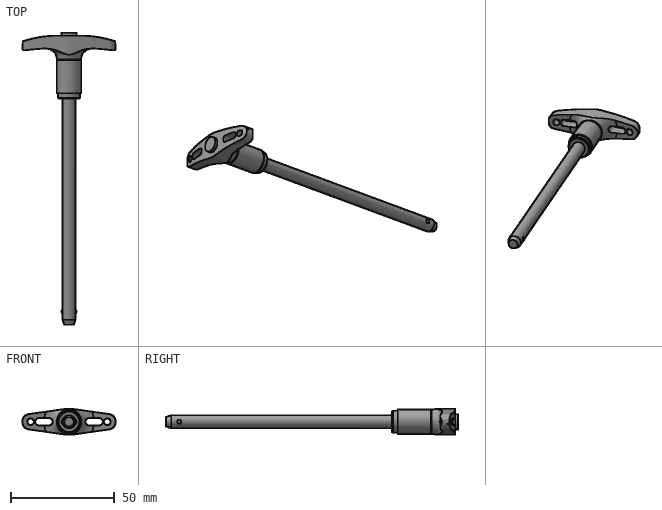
import cadquery as cq
import math

OVERALL_LENGTH = 141.22
HANDLE_SPAN = 45.18
HANDLE_DEPTH = 12.7

CROSSBAR_TOP = 1.45
FLARE_END = 12.85
GRIP_START = 13.25
GRIP_END = 29.2
COLLAR_CHAMFER_START = 31.4
SHOULDER = 32.0
BALL_DISTANCE = 134.75
NOSE_START = 138.7

BUTTON_RADIUS = 3.75
GRIP_RADIUS = 5.94
COLLAR_RADIUS = 5.4
COLLAR_CHAMFER = 0.45
SHANK_RADIUS = 3.175
NOSE_RADIUS = 2.3
FLARE_OUTER_RADIUS = 12.1
FLARE_MID_RADIUS = 7.4
FLARE_MID_DROP = 1.45
NECK_GROOVE_DEPTH = 0.15

TIP_RADIUS = 3.8
WAIST_FLAT = 2.2

TOP_FLAT_HALF = 5.8
TOP_ARC_RADIUS = 50.8
UNDERSIDE_RADIUS = 180.0
UNDERSIDE_CROWN = 7.35
TIP_SETBACK = 0.23
TIP_OVERRUN = 0.12
TIP_EDGE_FILLET = 1.1

HOLE_DIAMETER = 3.1
HOLE_X = 18.5
SLOT_WIDTH = 3.45
SLOT_INNER_X = 7.9
SLOT_OUTER_X = 16.3

BALL_RADIUS = 1.2
BALL_CENTER_X = 2.45

HALF_SPAN = HANDLE_SPAN / 2
HALF_DEPTH = HANDLE_DEPTH / 2


def y_at(distance):
    """Y of a point at the given distance from the button's outer face."""
    return SHOULDER - distance


def top_distance(x):
    """Depth of the crossbar's rounded top at a given x outside the flat."""
    run = x - TOP_FLAT_HALF
    return CROSSBAR_TOP + TOP_ARC_RADIUS - math.sqrt(TOP_ARC_RADIUS**2 - run**2)


def underside_distance(x):
    """Depth of the crossbar's arched underside at a given x."""
    return UNDERSIDE_CROWN + UNDERSIDE_RADIUS - math.sqrt(UNDERSIDE_RADIUS**2 - x**2)


def extrude_along_pin(sketch, start, end):
    """Extrude an XZ sketch between two distances along the pin axis."""
    return sketch.extrude(end - start).translate((0, y_at(start), 0))


def crossbar_plan():
    """Outline of the handle along the pin axis: a waist flat tapering to round tips."""
    flat = WAIST_FLAT / 2
    tip_center = HALF_SPAN - TIP_RADIUS
    run = tip_center - flat
    reach = math.hypot(run, HALF_DEPTH)
    normal = math.pi - math.atan2(HALF_DEPTH, run) - math.acos(TIP_RADIUS / reach)
    touch_x = tip_center + TIP_RADIUS * math.cos(normal)
    touch_z = TIP_RADIUS * math.sin(normal)
    return (
        cq.Workplane("XZ")
        .moveTo(-flat, HALF_DEPTH)
        .lineTo(flat, HALF_DEPTH)
        .lineTo(touch_x, touch_z)
        .threePointArc((HALF_SPAN, 0), (touch_x, -touch_z))
        .lineTo(flat, -HALF_DEPTH)
        .lineTo(-flat, -HALF_DEPTH)
        .lineTo(-touch_x, -touch_z)
        .threePointArc((-HALF_SPAN, 0), (-touch_x, touch_z))
        .close()
    )


def crossbar():
    """Wings with a rounded top, an arched underside and rounded lower tip edges."""
    top_x = HALF_SPAN - TIP_SETBACK
    mid_x = (TOP_FLAT_HALF + top_x) / 2
    top_y = y_at(CROSSBAR_TOP)
    tip_top_y = y_at(top_distance(top_x))
    mid_top_y = y_at(top_distance(mid_x))
    bottom_x = HALF_SPAN + TIP_OVERRUN
    tip_bottom_y = y_at(underside_distance(bottom_x))
    profile = (
        cq.Workplane("XY")
        .moveTo(-TOP_FLAT_HALF, top_y)
        .lineTo(TOP_FLAT_HALF, top_y)
        .threePointArc((mid_x, mid_top_y), (top_x, tip_top_y))
        .lineTo(bottom_x, tip_bottom_y)
        .threePointArc((0, y_at(UNDERSIDE_CROWN)), (-bottom_x, tip_bottom_y))
        .lineTo(-top_x, tip_top_y)
        .threePointArc((-mid_x, mid_top_y), (-TOP_FLAT_HALF, top_y))
        .close()
        .extrude(HALF_DEPTH, both=True)
    )
    return profile.edges("|Z").edges("<Y").fillet(TIP_EDGE_FILLET)


def flare():
    """Concave turned transition from the crossbar's underside to the grip."""
    start = underside_distance(FLARE_OUTER_RADIUS)
    base_y = y_at((CROSSBAR_TOP + start) / 2)
    curve_points = [
        (FLARE_OUTER_RADIUS, y_at(start)),
        (FLARE_MID_RADIUS, y_at(start + FLARE_MID_DROP)),
        (GRIP_RADIUS, y_at(FLARE_END)),
    ]
    return (
        cq.Workplane("XY")
        .moveTo(0, base_y)
        .lineTo(FLARE_OUTER_RADIUS, base_y)
        .lineTo(*curve_points[0])
        .spline(curve_points[1:], tangents=[(-1, 0), (0, -1)], includeCurrent=True)
        .lineTo(0, y_at(FLARE_END))
        .close()
        .revolve(360, (0, 0, 0), (0, 1, 0))
    )


def handle():
    """Crossbar and flare trimmed to the plan outline."""
    plan = extrude_along_pin(crossbar_plan(), 0, GRIP_START)
    return crossbar().union(flare()).intersect(plan)


def turned_body():
    """Button, neck groove, grip, collar and shank with its tapered nose, all about the pin axis."""
    groove_radius = GRIP_RADIUS - NECK_GROOVE_DEPTH
    chamfer_radius = COLLAR_RADIUS - COLLAR_CHAMFER
    outline = [
        (0, y_at(0)),
        (BUTTON_RADIUS, y_at(0)),
        (BUTTON_RADIUS, y_at(FLARE_END)),
        (groove_radius, y_at(FLARE_END)),
        (groove_radius, y_at(GRIP_START)),
        (GRIP_RADIUS, y_at(GRIP_START)),
        (GRIP_RADIUS, y_at(GRIP_END)),
        (COLLAR_RADIUS, y_at(GRIP_END)),
        (COLLAR_RADIUS, y_at(COLLAR_CHAMFER_START)),
        (chamfer_radius, y_at(SHOULDER)),
        (SHANK_RADIUS, y_at(SHOULDER)),
        (SHANK_RADIUS, y_at(NOSE_START)),
        (NOSE_RADIUS, y_at(OVERALL_LENGTH)),
        (0, y_at(OVERALL_LENGTH)),
    ]
    return cq.Workplane("XY").polyline(outline).close().revolve(360, (0, 0, 0), (0, 1, 0))


def wing_openings(side):
    """Round hole and slot through one wing; side is +1 or -1 along X."""
    slot_center = side * (SLOT_INNER_X + SLOT_OUTER_X) / 2
    slot_length = SLOT_OUTER_X - SLOT_INNER_X
    hole = cq.Workplane("XZ").center(side * HOLE_X, 0).circle(HOLE_DIAMETER / 2)
    slot = cq.Workplane("XZ").center(slot_center, 0).slot2D(slot_length, SLOT_WIDTH)
    hole = extrude_along_pin(hole, 0, GRIP_START)
    slot = extrude_along_pin(slot, 0, GRIP_START)
    return hole.union(slot)


def locking_ball(side):
    """Ball standing slightly proud of the shank on one side."""
    return cq.Workplane("XY").sphere(BALL_RADIUS).translate(
        (side * BALL_CENTER_X, y_at(BALL_DISTANCE), 0)
    )


result = handle()
for side in (-1, 1):
    result = result.cut(wing_openings(side))
result = result.union(turned_body())
for side in (-1, 1):
    result = result.union(locking_ball(side))